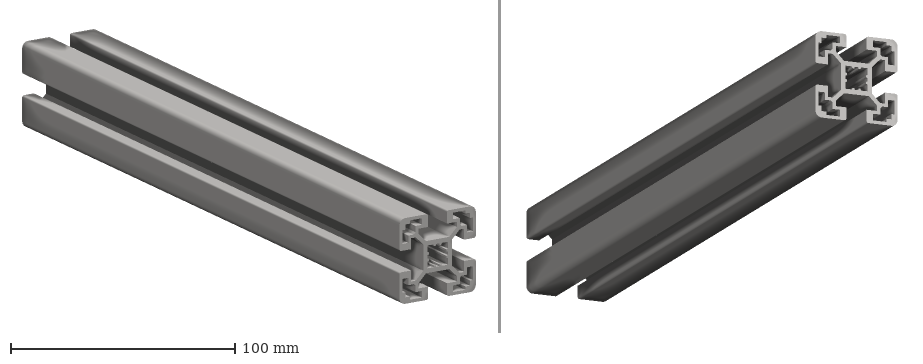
import cadquery as cq
import math

length = 320.0
size = 40.0
half_size = size / 2
corner_radius = 3.0

mouth_width = 10.0
lip_thickness = 6.0
mouth_radius = 1.0
slot_width = 20.0
web_thickness = 2.0

core_width = 15.0
core_wall = 2.18
rib_base_width = 1.45
rib_tip_width = 0.85
rib_height = 0.8
rib_spacing = 3.0

outer_wall = 1.5
lip_end_wall = 3.2
inner_wall = 1.5
corner_block_thickness = 3.0
corner_block_length = 5.5
inner_bevel = 1.0


def extrude_outline(points):
    """Close the outline and extrude it over the full length."""
    return cq.Workplane("YZ").polyline(points).close().extrude(length)


def cut_four_sides(body, tool):
    """Cut the tool at each quarter turn about the profile axis."""
    for quarter in range(4):
        body = body.cut(tool.rotate((0, 0, 0), (1, 0, 0), 90 * quarter))
    return body


def make_slot():
    """T-slot opening to +Z, with a rounded mouth and 45-degree flanks along the diagonal webs."""
    web_offset = web_thickness / math.sqrt(2)
    lip_underside = half_size - lip_thickness
    floor = core_width / 2
    mouth_side = mouth_width / 2
    slot_side = slot_width / 2
    return (
        cq.Workplane("YZ")
        .moveTo(mouth_side + mouth_radius, half_size)
        .radiusArc((mouth_side, half_size - mouth_radius), -mouth_radius)
        .lineTo(mouth_side, lip_underside)
        .lineTo(slot_side, lip_underside)
        .lineTo(slot_side, slot_side + web_offset)
        .lineTo(floor - web_offset, floor)
        .lineTo(0, floor)
        .lineTo(0, half_size)
        .close()
        .extrude(length)
        .mirror("XZ", union=True)
    )


def make_chamber():
    """Chamber of the +Y +Z corner, mirror-symmetric about the corner diagonal."""
    outer = half_size - outer_wall
    block_face = half_size - corner_block_thickness
    block_end = half_size - corner_block_length
    lip_end = mouth_width / 2 + lip_end_wall
    lip_floor = half_size - lip_thickness + inner_wall
    slot_side = slot_width / 2 + inner_wall
    upper_half = [
        (block_end, block_face),
        (block_end, outer),
        (lip_end, outer),
        (lip_end, lip_floor),
        (slot_side, lip_floor),
        (slot_side, slot_side + inner_bevel),
    ]
    lower_half = [(z, y) for y, z in reversed(upper_half)]
    return extrude_outline([(block_face, block_face)] + upper_half + lower_half)


def make_bore():
    """Square bore, less two ribs standing in from each wall."""
    bore_width = core_width - 2 * core_wall
    bore_side = bore_width / 2
    bore = cq.Workplane("YZ").rect(bore_width, bore_width).extrude(length)
    for side in (-1, 1):
        centre = side * rib_spacing / 2
        rib = extrude_outline(
            [
                (centre - rib_base_width / 2, bore_side),
                (centre - rib_tip_width / 2, bore_side - rib_height),
                (centre + rib_tip_width / 2, bore_side - rib_height),
                (centre + rib_base_width / 2, bore_side),
            ]
        )
        bore = cut_four_sides(bore, rib)
    return bore


body = cq.Workplane("YZ").rect(size, size).extrude(length).edges("|X").fillet(corner_radius)
body = cut_four_sides(body, make_slot())
body = cut_four_sides(body, make_chamber())
result = body.cut(make_bore())